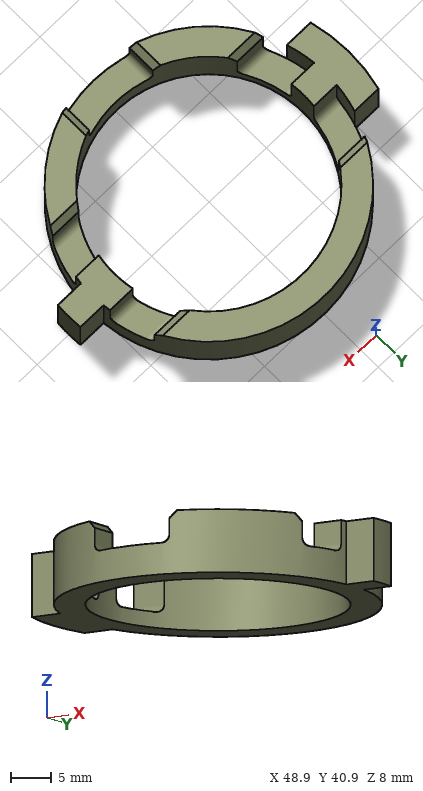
import cadquery as cq

height = 8.0
outer_radius = 20.45
inner_radius = 16.505
reach = 24.45

key_half_width = 6.0
arm_half_width = 2.0

edge_size = 1.0
side_notch_end = 9.0
key_neck_half_width = arm_half_width
arm_block_half_width = 3.05
front_notch_half_width = 5.55
key_notch_floor = height / 4
shallow_notch_floor = height / 2


def cylinder(radius):
    return cq.Workplane("XY").circle(radius).extrude(height)


def radial_bar(half_width, direction):
    """Full-height bar outside the ring, with a round end, along +X or -X."""
    bar = (
        cq.Workplane("XY")
        .center(direction * reach / 2, 0)
        .rect(reach, 2 * half_width)
        .extrude(height)
    )
    return bar.intersect(cylinder(reach)).cut(cylinder(outer_radius))


def notch_profile(plane, start, end, floor, chamfer_start):
    """Notch with filleted floor corners and a chamfer at its end, or at both ends."""
    shoulder = height - edge_size
    profile = (
        cq.Workplane(plane)
        .moveTo(start + edge_size, floor)
        .lineTo(end - edge_size, floor)
        .radiusArc((end, floor + edge_size), -edge_size)
        .lineTo(end, shoulder)
        .lineTo(end + edge_size, height)
    )
    if chamfer_start:
        profile = profile.lineTo(start - edge_size, height).lineTo(start, shoulder)
    else:
        profile = profile.lineTo(start, height)
    return (
        profile.lineTo(start, floor + edge_size)
        .radiusArc((start + edge_size, floor), -edge_size)
        .close()
    )


def side_notches(inner_half_width, floor, direction):
    """Pair of notches mirrored about the XZ plane, cut through one side of the ring."""
    notch = notch_profile("YZ", inner_half_width, side_notch_end, floor, False)
    notch = notch.extrude(direction * reach)
    return notch.union(notch.mirror("XZ"))


ring = cylinder(outer_radius).cut(cylinder(inner_radius))
ring = ring.cut(side_notches(key_neck_half_width, key_notch_floor, -1))
ring = ring.cut(side_notches(arm_block_half_width, shallow_notch_floor, 1))

front_notch = notch_profile(
    "XZ", -front_notch_half_width, front_notch_half_width, shallow_notch_floor, True
).extrude(reach)
ring = ring.cut(front_notch)

key = radial_bar(key_half_width, -1)
arm = radial_bar(arm_half_width, 1)
result = ring.union(key).union(arm)